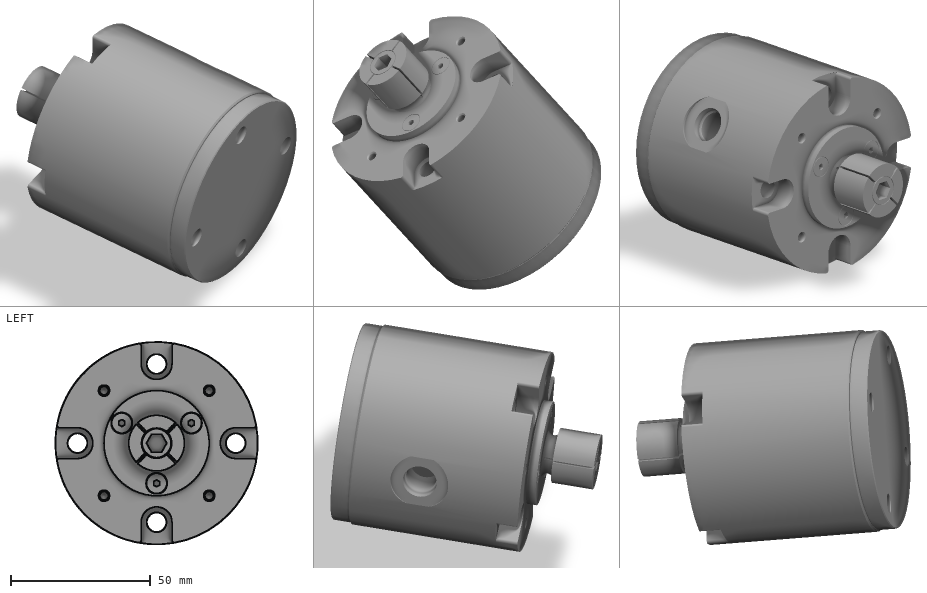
import cadquery as cq
import math


total_length = 90.6
sleeve_end = 14.95
flange_start = 19.0
body_start = 22.4
cover_start = 84.0

sleeve_radius = 10.0
neck_radius = 7.0
neck_land = 0.2
neck_shoulder_radius = 8.3
flange_radius = 18.8
body_radius = 72.55 / 2
cover_radius = 35.7
seam_chamfer = body_radius - cover_radius
cover_chamfer = 0.4

slot_count = 4
slot_first_angle = 0
slot_width = 11.05
slot_depth = 7.8
slot_edge_round = 0.9
mount_circle_radius = 28.35
mount_hole_diameter = 7.0

tapped_count = 4
tapped_first_angle = 45
tapped_circle_radius = 26.6
tapped_radius = 1.5
tapped_mouth_radius = 2.0
tapped_depth = 10.9
drill_point_angle = 118.0

screw_gap_depth = 0.45
socket_sides = 6

flange_screw_count = 3
flange_screw_first_angle = 30
flange_screw_circle_radius = 14.4
flange_recess_radius = 3.8
flange_head_radius = 3.6
flange_hex_flats = 2.2
flange_hex_depth = 1.8

clamp_recess_radius = 5.4
clamp_head_radius = 5.2
clamp_hex_flats = 6.3
clamp_hex_depth = 5.4
slit_count = 4
slit_first_angle = 45
slit_width = 0.7
slit_length = 18.5

port_x = 59.0
port_tilt = 30.0
seat_distance = 35.0
seat_radius = 10.5
port_radius = 6.2
port_entry_depth = 2.8
port_bore_radius = 5.5
port_bore_depth = 13.6


def axial_plane(x):
    """Plane across the axis: local x is +Y, local y is +Z, normal is +X."""
    return cq.Workplane("YZ", origin=(x, 0, 0))


def turn_around_x(section):
    return section.close().revolve(360, (0, 0, 0), (1, 0, 0))


def ring_of_copies(shape, count, first_angle):
    """Copies of a shape standing at +Y, turned about the X axis."""
    copies = cq.Workplane("XY")
    for index in range(count):
        angle = first_angle + index * 360 / count
        copies = copies.add(shape.rotate((0, 0, 0), (1, 0, 0), angle))
    return copies.combine()


def turned_body():
    land_start = (sleeve_end + flange_start - neck_land) / 2
    land_end = land_start + neck_land
    arc_run = land_start - sleeve_end
    arc_rise = neck_shoulder_radius - neck_radius
    arc_radius = (arc_run**2 + arc_rise**2) / (2 * arc_rise)
    half_sweep = math.atan2(arc_rise, arc_run)
    arc_middle_run = arc_radius * math.sin(half_sweep)
    arc_middle_radius = neck_radius + arc_radius * (1 - math.cos(half_sweep))
    section = (
        cq.Workplane("XY")
        .moveTo(0, 0)
        .lineTo(0, sleeve_radius)
        .lineTo(sleeve_end, sleeve_radius)
        .lineTo(sleeve_end, neck_shoulder_radius)
        .threePointArc((land_start - arc_middle_run, arc_middle_radius), (land_start, neck_radius))
        .lineTo(land_end, neck_radius)
        .threePointArc((land_end + arc_middle_run, arc_middle_radius), (flange_start, neck_shoulder_radius))
        .lineTo(flange_start, flange_radius)
        .lineTo(body_start, flange_radius)
        .lineTo(body_start, body_radius)
        .lineTo(cover_start - seam_chamfer, body_radius)
        .lineTo(cover_start, cover_radius)
        .lineTo(cover_start, cover_radius - cover_chamfer)
        .lineTo(cover_start + cover_chamfer, cover_radius)
        .lineTo(total_length - cover_chamfer, cover_radius)
        .lineTo(total_length, cover_radius - cover_chamfer)
        .lineTo(total_length, 0)
    )
    return turn_around_x(section)


def mounting_slot():
    """Round-ended slot, open to the outside of the body."""
    open_length = body_radius - mount_circle_radius + slot_width
    channel = (
        axial_plane(body_start)
        .center(mount_circle_radius + open_length / 2, 0)
        .rect(open_length, slot_width)
        .extrude(slot_depth)
    )
    round_end = (
        axial_plane(body_start)
        .center(mount_circle_radius, 0)
        .circle(slot_width / 2)
        .extrude(slot_depth)
    )
    return channel.union(round_end)


def round_slot_edges(part):
    """Round the long edges where the slot walls meet the outside of the body."""
    half_width = slot_width / 2
    edge_radius = math.sqrt(body_radius**2 - half_width**2)
    x = body_start + slot_depth / 2
    for side in (-1, 1):
        for half in (-1, 1):
            along = side * edge_radius
            across = half * half_width
            for y, z in ((along, across), (across, along)):
                part = part.edges(cq.NearestToPointSelector((x, y, z))).fillet(slot_edge_round)
    return part


def mounting_hole():
    return (
        axial_plane(body_start)
        .center(mount_circle_radius, 0)
        .circle(mount_hole_diameter / 2)
        .extrude(total_length - body_start)
    )


def tapped_hole():
    """Blind hole with a chamfered mouth and a drill point."""
    mouth_depth = tapped_mouth_radius - tapped_radius
    point_length = tapped_radius / math.tan(math.radians(drill_point_angle / 2))
    section = (
        cq.Workplane("XY")
        .moveTo(0, 0)
        .lineTo(0, tapped_mouth_radius)
        .lineTo(mouth_depth, tapped_radius)
        .lineTo(tapped_depth, tapped_radius)
        .lineTo(tapped_depth + point_length, 0)
    )
    return turn_around_x(section).translate((body_start, tapped_circle_radius, 0))


def screw_recess(x, recess_radius, head_radius, hex_flats, hex_depth):
    """Gap around a flush screw head and its hexagon socket, corners along Y."""
    gap = axial_plane(x).circle(recess_radius).circle(head_radius).extrude(screw_gap_depth)
    hex_corners = hex_flats / math.cos(math.pi / socket_sides)
    socket = axial_plane(x).polygon(socket_sides, hex_corners).extrude(hex_depth)
    return gap.union(socket)


def flange_screw():
    recess = screw_recess(
        flange_start, flange_recess_radius, flange_head_radius, flange_hex_flats, flange_hex_depth
    )
    return recess.translate((0, flange_screw_circle_radius, 0))


def clamp_screw():
    return screw_recess(0, clamp_recess_radius, clamp_head_radius, clamp_hex_flats, clamp_hex_depth)


def sleeve_slit():
    slit_height = sleeve_radius - clamp_head_radius
    return (
        axial_plane(0)
        .center(clamp_head_radius + slit_height / 2, 0)
        .rect(slit_height, slit_width)
        .extrude(slit_length)
    )


def side_port():
    """Flat seat, entry bore, chamfered step and blind bore, built along +Y and then tilted."""
    step = port_radius - port_bore_radius
    section = (
        cq.Workplane("XY")
        .moveTo(0, body_radius)
        .lineTo(seat_radius, body_radius)
        .lineTo(seat_radius, seat_distance)
        .lineTo(port_radius, seat_distance)
        .lineTo(port_radius, seat_distance - port_entry_depth)
        .lineTo(port_bore_radius, seat_distance - port_entry_depth - step)
        .lineTo(port_bore_radius, seat_distance - port_bore_depth)
        .lineTo(0, seat_distance - port_bore_depth)
        .close()
    )
    port = section.revolve(360, (0, 0, 0), (0, 1, 0)).translate((port_x, 0, 0))
    return port.rotate((0, 0, 0), (1, 0, 0), port_tilt)


result = turned_body().cut(ring_of_copies(mounting_slot(), slot_count, slot_first_angle))
result = round_slot_edges(result)
result = result.cut(ring_of_copies(mounting_hole(), slot_count, slot_first_angle))
result = result.cut(ring_of_copies(tapped_hole(), tapped_count, tapped_first_angle))
result = result.cut(ring_of_copies(flange_screw(), flange_screw_count, flange_screw_first_angle))
result = result.cut(ring_of_copies(sleeve_slit(), slit_count, slit_first_angle))
result = result.cut(clamp_screw())
result = result.cut(side_port())